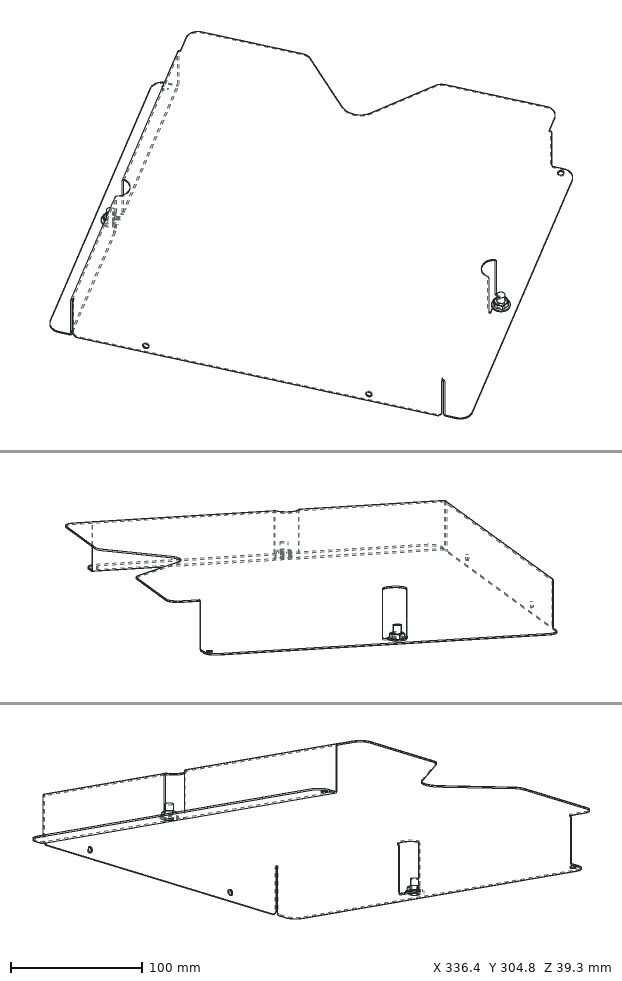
import cadquery as cq
import math

overall_width = 336.42
overall_depth = 304.83
overall_height = 39.32
sheet = 1.22
bend_inside = 1.05
bend_outside = bend_inside + sheet

wall_outer_x = 149.2
flat_half_width = wall_outer_x - bend_outside
foot_bend_x = wall_outer_x + bend_inside
top_bend_z = overall_height - bend_outside
sheet_underside_z = overall_height - sheet
foot_half_width = overall_width / 2
foot_start_y = sheet
foot_end_y = 280.9
foot_corner_radius = 9.5
top_corner_radius = 9.5
front_wall_chamfer = 2.6

notch_half_width = 52.6
notch_depth = 50.8
notch_angle = math.radians(48)
notch_mouth_radius = 9.5

screw_hole_diameter = 4.78
front_hole_x = 88.9
front_hole_z = 6.8
foot_hole_x = 157.7
foot_hole_y = 276.1

stud_x = 155.6
stud_y = 126.6
stud_diameter = 6.3
stud_height = 12.3
nut_bore_diameter = 6.36
nut_flange_diameter = 14.29
nut_flange_height = 1.0
nut_height = 4.8
nut_across_flats = 10.3
nut_top_diameter = 9.8
nut_corner_chamfer_angle = math.radians(30)

slot_diameter = 19.5
slot_center_x = foot_bend_x

SIDES = (-1, 1)


def bend_middle(center, radius, direction):
    """Middle point of a quarter-circle bend; direction holds the signs toward it."""
    offset = radius * math.sqrt(0.5)
    return (center[0] + direction[0] * offset, center[1] + direction[1] * offset)


def make_hat():
    """Top sheet, side walls and feet: a bent half profile run along Y, then mirrored."""
    top_bend = (flat_half_width, top_bend_z)
    foot_bend = (foot_bend_x, bend_outside)
    wall_inner_x = wall_outer_x - sheet
    half = (
        cq.Workplane("XZ", origin=(0, foot_start_y, 0))
        .moveTo(0, sheet_underside_z)
        .lineTo(flat_half_width, sheet_underside_z)
        .threePointArc(bend_middle(top_bend, bend_inside, (1, 1)), (wall_inner_x, top_bend_z))
        .lineTo(wall_inner_x, bend_outside)
        .threePointArc(bend_middle(foot_bend, bend_outside, (-1, -1)), (foot_bend_x, 0))
        .lineTo(foot_half_width, 0)
        .lineTo(foot_half_width, sheet)
        .lineTo(foot_bend_x, sheet)
        .threePointArc(bend_middle(foot_bend, bend_inside, (-1, -1)), (wall_outer_x, bend_outside))
        .lineTo(wall_outer_x, top_bend_z)
        .threePointArc(bend_middle(top_bend, bend_outside, (1, 1)), (flat_half_width, overall_height))
        .lineTo(0, overall_height)
        .close()
        .extrude(foot_start_y - foot_end_y)
    )
    half = half.edges("|Z and >X").fillet(foot_corner_radius)
    hat = half.union(half.mirror("YZ"))
    front_bend_room = cq.Workplane("XY").box(
        2 * flat_half_width, bend_outside, overall_height, centered=(True, False, False)
    )
    return hat.cut(front_bend_room)


def make_front_wall():
    """Front wall with its bend into the top sheet and clipped lower corners."""
    bend_center = (bend_outside, top_bend_z)
    wall = (
        cq.Workplane("YZ", origin=(-flat_half_width, 0, 0))
        .moveTo(0, 0)
        .lineTo(sheet, 0)
        .lineTo(sheet, top_bend_z)
        .threePointArc(bend_middle(bend_center, bend_inside, (-1, 1)), (bend_outside, sheet_underside_z))
        .lineTo(bend_outside, overall_height)
        .threePointArc(bend_middle(bend_center, bend_outside, (-1, 1)), (0, top_bend_z))
        .close()
        .extrude(2 * flat_half_width)
    )
    wall = wall.edges("|Y and <Z").chamfer(front_wall_chamfer)
    holes = (
        cq.Workplane("XZ")
        .pushPoints([(side * front_hole_x, front_hole_z) for side in SIDES])
        .circle(screw_hole_diameter / 2)
        .extrude(-sheet)
    )
    return wall.cut(holes)


def make_rear_tab():
    """Flat top sheet running past the side walls to the rear edge."""
    tab = (
        cq.Workplane("XY", origin=(0, foot_end_y, sheet_underside_z))
        .rect(2 * flat_half_width, 2 * (overall_depth - foot_end_y))
        .extrude(sheet)
    )
    return tab.edges("|Z and >Y").fillet(top_corner_radius)


def make_notch():
    """V cutter with a round bottom and rounded mouth corners."""
    sine = math.sin(notch_angle)
    cosine = math.cos(notch_angle)
    apex_depth = notch_half_width * math.tan(notch_angle)
    bottom_radius = (apex_depth - notch_depth) / (1 / cosine - 1)
    bottom_center_y = overall_depth - notch_depth + bottom_radius
    side_end = (bottom_radius * sine, bottom_center_y - bottom_radius * cosine)
    mouth_tangent = notch_mouth_radius * math.tan(notch_angle / 2)
    mouth_center_x = notch_half_width + mouth_tangent
    mouth_center_y = overall_depth - notch_mouth_radius
    half = notch_angle / 2

    def mouth_point(angle):
        return (
            mouth_center_x - notch_mouth_radius * math.sin(angle),
            mouth_center_y + notch_mouth_radius * math.cos(angle),
        )

    def mirrored(point):
        return (-point[0], point[1])

    return (
        cq.Workplane("XY", origin=(0, 0, sheet_underside_z))
        .moveTo(*mirrored(mouth_point(0)))
        .threePointArc(mirrored(mouth_point(half)), mirrored(mouth_point(notch_angle)))
        .lineTo(*mirrored(side_end))
        .threePointArc((0, overall_depth - notch_depth), side_end)
        .lineTo(*mouth_point(notch_angle))
        .threePointArc(mouth_point(half), mouth_point(0))
        .close()
        .extrude(sheet)
    )


def make_round_cutters(center_x, center_y, diameter, height):
    """A vertical cylinder on each side, rising from the underside of the feet."""
    return (
        cq.Workplane("XY")
        .pushPoints([(side * center_x, center_y) for side in SIDES])
        .circle(diameter / 2)
        .extrude(height)
    )


def make_slots():
    """Round clearance through the top and side walls, stopping where the flat feet begin."""
    between_feet = cq.Workplane("XY").box(
        2 * foot_bend_x, overall_depth, overall_height, centered=(True, False, False)
    )
    return make_round_cutters(slot_center_x, stud_y, slot_diameter, overall_height).intersect(between_feet)


def make_cover():
    """Bent sheet-metal cover with its notch, slots and holes."""
    blank = make_hat().union(make_front_wall()).union(make_rear_tab())
    foot_holes = make_round_cutters(foot_hole_x, foot_hole_y, screw_hole_diameter, sheet)
    stud_holes = make_round_cutters(stud_x, stud_y, stud_diameter, sheet)
    return blank.cut(make_notch()).cut(make_slots()).cut(foot_holes).cut(stud_holes)


def make_stud(side):
    """Plain stud set flush with the underside of the foot."""
    return (
        cq.Workplane("XY", origin=(side * stud_x, stud_y, 0))
        .circle(stud_diameter / 2)
        .extrude(stud_height)
    )


def make_nut(side):
    """Hex nut on a round flange, resting on the foot."""
    base = cq.Workplane("XY", origin=(side * stud_x, stud_y, sheet))
    flange = base.circle(nut_flange_diameter / 2).extrude(nut_flange_height)
    across_corners = nut_across_flats / math.cos(math.pi / 6)
    hexagon = base.polygon(6, across_corners).extrude(nut_height)
    corner_chamfer_width = (across_corners - nut_top_diameter) / 2
    corner_cone = (
        base.circle(across_corners / 2)
        .extrude(nut_height)
        .faces(">Z")
        .chamfer(corner_chamfer_width * math.tan(nut_corner_chamfer_angle), corner_chamfer_width)
    )
    hexagon = hexagon.intersect(corner_cone)
    bore = base.circle(nut_bore_diameter / 2).extrude(nut_height)
    return flange.union(hexagon).cut(bore)


cover = make_cover()
studs = [make_stud(side) for side in SIDES]
nuts = [make_nut(side) for side in SIDES]

result = cq.Compound.makeCompound(
    [cover.val()] + [stud.val() for stud in studs] + [nut.val() for nut in nuts]
)